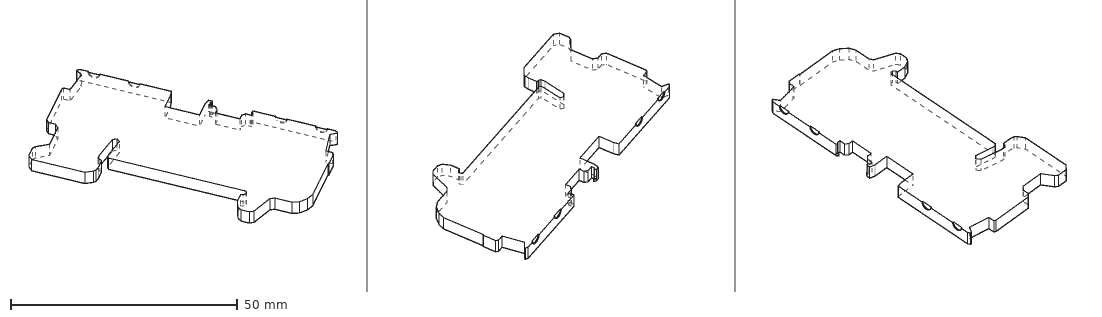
import cadquery as cq

length = 63.6
height = 30.6
thickness = 3.5

body_bottom = 6.0
shoulder_y = 23.85
right_pad_step = 0.2
right_pad_bottom = 20.1
body_right = length - right_pad_step
body_mid_x = body_right / 2
shoulder_chamfer_x = 0.25
shoulder_chamfer_y = 0.5
corner_far_x = 3.55
corner_far_y = 3.8
corner_mid_x = 0.65
corner_mid_y = 0.65
corner_in_x = 2.05
corner_in_y = 2.2

flank_bottom_x = 1.8
flank_top_x = 2.7
flank_top_y = 29.05
lip_tip_x = 1.2
lip_tip_low = 29.95
lip_tip_high = 30.2
lip_top_x = 1.8

recess_radius = 1.35
recess_depth = 0.25
recess_centers = (5.1, 14.5)

notch_left = 23.4
notch_right = 31.5
notch_bottom = 25.55
notch_left_flare = 0.25
notch_right_flare = 0.4
flare_bottom = 29.3

pocket_mid_x = 37.45
pocket_half_floor = 2.85
pocket_half_step = 3.5
pocket_half_width = 4.95
pocket_half_mouth = 4.7
pocket_floor = 27.3
pocket_chamfer_bottom = 28.5
pocket_step_y = 29.2
hook_under_y = 29.95
hook_tip_y = 30.2
hook_low_half = 4.5
hook_tip_half = 4.2
hook_thickness = 0.65

waist_x = 3.2
waist_top = 12.35
waist_bottom = 5.9
waist_chamfer = 0.9
body_left_chamfer = 0.75
foot_shoulder_x = 0.5
foot_shoulder_y = 4.2
foot_side_top = 3.5
foot_chamfer = 1.0
foot_bottom_right = 13.5
foot_right = 15.8
foot_facet_top = 2.55
foot_facet_high = (15.6, 1.5)
foot_facet_low = (15.2, 1.0)
foot_toe_y = 4.9
foot_toe_chamfer = 0.25
slot_foot_x = 14.75
slot_foot_low = 5.2
slot_foot_high = 6.3
slot_foot_chamfer = 0.4
slot_shoulder_y = 11.75
slot_top_left = 15.85
slot_peak = (16.7, 12.4)
slot_top_right = 17.5
slot_right_low = 16.6
slot_right_low_y = 7.1
slot_mouth_chamfer = 0.4

latch_left = 48.35
latch_neck_x = 49.35
latch_neck_y = 5.15
latch_barb_x = 48.85
latch_barb_y = 4.65
latch_side_low = 2.35
latch_heel = (49.1, 0.6)
latch_bottom_left = 50.05
latch_bottom_right = 51.95
latch_toe = (52.85, 0.6)
latch_slope_top = (54.9, 5.5)
latch_root_right = 55.85
latch_root_chamfer = 0.25


def mirrored(points, mid_x):
    """Reflect points about the line x = mid_x, reversing their order."""
    return [(2 * mid_x - x, y) for x, y in reversed(points)]


def plate(points, depth=thickness):
    """Extrude a closed straight-sided outline upwards from the underside."""
    return cq.Workplane("XY").polyline(points).close().extrude(depth)


def main_body():
    left_head = [
        (0, shoulder_y - shoulder_chamfer_y),
        (shoulder_chamfer_x, shoulder_y),
        (flank_bottom_x, shoulder_y),
        (flank_top_x, flank_top_y),
        (lip_tip_x, lip_tip_low),
        (lip_tip_x, lip_tip_high),
        (lip_top_x, height),
    ]
    right_side = [
        (body_right, body_bottom + corner_far_y),
        (body_right - corner_mid_x, body_bottom + corner_in_y),
        (body_right - corner_in_x, body_bottom + corner_mid_y),
        (body_right - corner_far_x, body_bottom),
    ]
    outline = left_head + mirrored(left_head, body_mid_x) + right_side
    outline += [
        (waist_x, body_bottom),
        (waist_x, waist_top - waist_chamfer),
        (waist_x - waist_chamfer, waist_top),
        (body_left_chamfer, waist_top),
        (0, waist_top + body_left_chamfer),
    ]
    return plate(outline)


def right_pad():
    """Slightly raised strip on the right end, below the shoulder."""
    return plate([
        (body_right - shoulder_chamfer_x, right_pad_bottom),
        (length, right_pad_bottom),
        (length, shoulder_y - shoulder_chamfer_y),
        (body_right - shoulder_chamfer_x, shoulder_y),
    ])


def edge_recesses():
    centers = [x for near_x in recess_centers for x in (near_x, body_right - near_x)]
    recesses = cq.Workplane("XY")
    for x in centers:
        mouth = cq.Vector(x, height, thickness)
        recesses.add(cq.Solid.makeCylinder(recess_radius, recess_depth, mouth, cq.Vector(0, -1, 0)))
    return recesses.combine()


def top_notch():
    return plate([
        (notch_left - notch_left_flare, height),
        (notch_left, flare_bottom),
        (notch_left, notch_bottom),
        (notch_right, notch_bottom),
        (notch_right, flare_bottom),
        (notch_right + notch_right_flare, height),
    ])


def stepped_pocket():
    left_wall = [
        (pocket_mid_x - pocket_half_mouth, height),
        (pocket_mid_x - pocket_half_mouth, hook_under_y),
        (pocket_mid_x - pocket_half_width, hook_under_y),
        (pocket_mid_x - pocket_half_width, pocket_step_y),
        (pocket_mid_x - pocket_half_step, pocket_step_y),
        (pocket_mid_x - pocket_half_floor, pocket_chamfer_bottom),
        (pocket_mid_x - pocket_half_floor, pocket_floor),
    ]
    return plate(left_wall + mirrored(left_wall, pocket_mid_x))


def snap_hooks():
    """Thin pointed hooks at the underside, facing each other across the mouth."""
    left_hook = [
        (pocket_mid_x - pocket_half_width, hook_under_y),
        (pocket_mid_x - hook_low_half, hook_under_y),
        (pocket_mid_x - hook_tip_half, hook_tip_y),
        (pocket_mid_x - pocket_half_mouth, height),
        (pocket_mid_x - pocket_half_width, height),
    ]
    right_hook = mirrored(left_hook, pocket_mid_x)
    return plate(left_hook, hook_thickness).union(plate(right_hook, hook_thickness))


def left_foot():
    return plate([
        (waist_x, waist_bottom),
        (foot_shoulder_x, foot_shoulder_y),
        (0, foot_side_top),
        (0, foot_chamfer),
        (foot_chamfer, 0),
        (foot_bottom_right, 0),
        foot_facet_low,
        foot_facet_high,
        (foot_right, foot_facet_top),
        (foot_right, foot_toe_y - foot_toe_chamfer),
        (foot_right - foot_toe_chamfer, foot_toe_y),
        (slot_foot_x + slot_foot_chamfer, foot_toe_y),
        (slot_foot_x, slot_foot_low),
        (slot_foot_x, slot_foot_high),
        (waist_x, slot_foot_high),
    ])


def spring_slot():
    """Leaning slot that frees the left foot from the body."""
    return plate([
        (slot_foot_x, body_bottom),
        (slot_foot_x, slot_foot_high),
        (slot_top_left, slot_shoulder_y),
        slot_peak,
        (slot_top_right, slot_shoulder_y),
        (slot_right_low, slot_right_low_y),
        (slot_right_low, body_bottom + slot_mouth_chamfer),
        (slot_right_low + slot_mouth_chamfer, body_bottom),
    ])


def latch_foot():
    return plate([
        (latch_neck_x - latch_root_chamfer, body_bottom),
        (latch_neck_x, body_bottom - latch_root_chamfer),
        (latch_neck_x, latch_neck_y),
        (latch_barb_x, latch_barb_y),
        (latch_left, latch_barb_y),
        (latch_left, latch_side_low),
        latch_heel,
        (latch_bottom_left, 0),
        (latch_bottom_right, 0),
        latch_toe,
        latch_slope_top,
        (latch_root_right, body_bottom),
    ])


result = (
    main_body()
    .union(right_pad())
    .union(left_foot())
    .union(latch_foot())
    .cut(spring_slot())
    .cut(top_notch())
    .cut(stepped_pocket())
    .union(snap_hooks())
    .cut(edge_recesses())
    .clean()
)